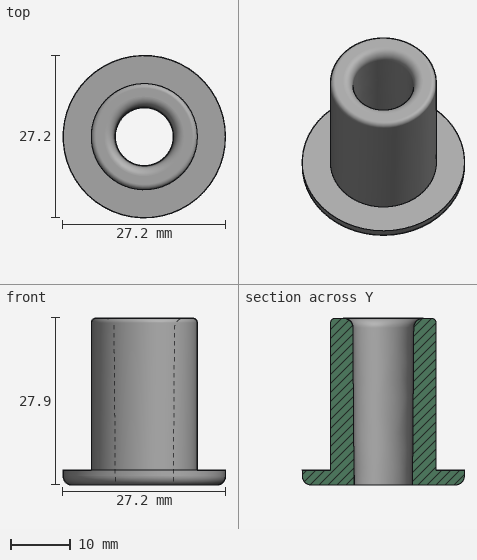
import cadquery as cq

height = 27.95
flange_diameter = 27.19
flange_thickness = 2.51
barrel_diameter = 17.77
bore_bottom_diameter = 9.7
bore_top_diameter = 10.15

flange_round = 1.5
barrel_round = 0.8
mouth_round = 1.6

flange = (
    cq.Workplane("XY")
    .circle(flange_diameter / 2)
    .extrude(flange_thickness)
    .faces("<Z")
    .edges()
    .fillet(flange_round)
)

barrel = (
    cq.Workplane("XY")
    .circle(barrel_diameter / 2)
    .extrude(height)
    .faces(">Z")
    .edges()
    .fillet(barrel_round)
)

bore = cq.Workplane("XY").add(
    cq.Solid.makeCone(bore_bottom_diameter / 2, bore_top_diameter / 2, height)
)
body = flange.union(barrel).cut(bore)

result = body.faces(">Z").edges(cq.selectors.RadiusNthSelector(0)).fillet(mouth_round)